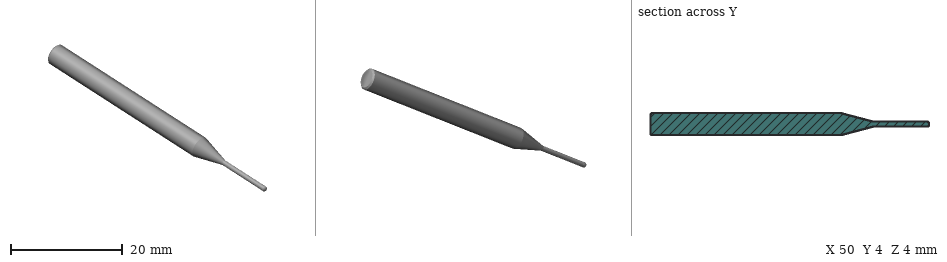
import cadquery as cq
import math

total_length = 50.0
shank_radius = 2.0
shank_chamfer = 0.3
shank_length = 34.25
neck_start = 40.0
neck_radius = 0.475
ball_radius = 0.5
head_land = 0.3

ball_center = total_length - ball_radius
head_start = ball_center - head_land
ball_mid = ball_radius * math.sqrt(0.5)

profile = (
    cq.Workplane("XY")
    .moveTo(0, 0)
    .lineTo(0, shank_radius - shank_chamfer)
    .lineTo(shank_chamfer, shank_radius)
    .lineTo(shank_length, shank_radius)
    .lineTo(neck_start, neck_radius)
    .lineTo(head_start, neck_radius)
    .lineTo(head_start, ball_radius)
    .lineTo(ball_center, ball_radius)
    .threePointArc((ball_center + ball_mid, ball_mid), (total_length, 0))
    .close()
)

result = profile.revolve(360, (0, 0, 0), (1, 0, 0))